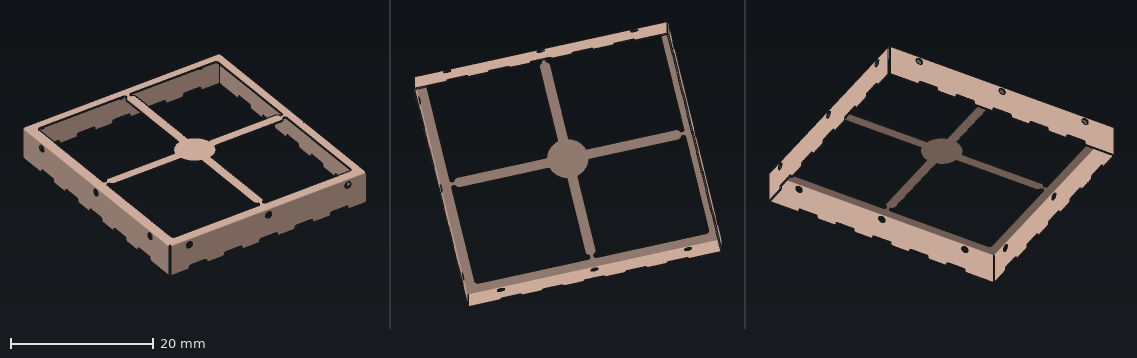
import cadquery as cq

length = 36.83
width = 33.65
height = 5.1
sheet = 0.2
bend_radius = 0.25
corner_gap = 0.22

flange = 1.6
window_corner_radius = 0.45

bar_width = 1.62
pad_diameter = 6.0
neck_width = 0.65
neck_length = 0.45
bar_end_radius = 0.65
neck_fillet = 0.25

hole_diameter = 1.0
hole_drop = 1.0
hole_offset = 13.48

notch_pitch = 6.0
notch_count = 5
notch_width = 2.95
notch_depth = 0.6
notch_edge_radius = 0.22

window_x = length - 2 * flange
window_y = width - 2 * flange


def make_shell():
    """Open-bottomed tray with rounded top edges and slit vertical corners."""
    outer = cq.Workplane("XY").box(length, width, height, centered=(True, True, False))
    outer = outer.faces(">Z").edges().fillet(bend_radius)
    inner = cq.Workplane("XY").box(
        length - 2 * sheet, width - 2 * sheet, height - sheet, centered=(True, True, False)
    )
    inner = inner.faces(">Z").edges().fillet(bend_radius - sheet)
    slits = (
        cq.Workplane("XY")
        .rect(length, width, forConstruction=True)
        .vertices()
        .rect(2 * corner_gap, 2 * corner_gap)
        .extrude(height)
    )
    return outer.cut(inner).cut(slits)


def round_edge(body, x, y, radius):
    """Round the vertical edge of a sheet-thick body that stands at (x, y)."""
    edge = cq.selectors.NearestToPointSelector((x, y, sheet / 2))
    return body.edges("|Z").edges(edge).fillet(radius)


def make_bar(span):
    """Bar along X with rounded ends, joined to the frame by a narrow neck at each end."""
    body = cq.Workplane("XY").rect(span - 2 * neck_length, bar_width).extrude(sheet)
    body = body.edges("|Z").fillet(bar_end_radius)
    necks = cq.Workplane("XY").rect(span, neck_width).extrude(sheet)
    return body.union(necks)


def make_windows():
    """Four window openings left between the cross bars and the central pad."""
    opening = cq.Workplane("XY").rect(window_x, window_y).extrude(sheet)
    pad = cq.Workplane("XY").circle(pad_diameter / 2).extrude(sheet)
    x_bar = make_bar(window_x)
    y_bar = make_bar(window_y).rotate((0, 0, 0), (0, 0, 1), 90)
    opening = opening.cut(x_bar).cut(y_bar).cut(pad)
    for x in (-window_x / 2, window_x / 2):
        for y in (-window_y / 2, window_y / 2):
            opening = round_edge(opening, x, y, window_corner_radius)
    for side in (-neck_width / 2, neck_width / 2):
        for end in (-1, 1):
            opening = round_edge(opening, end * window_x / 2, side, neck_fillet)
            opening = round_edge(opening, side, end * window_y / 2, neck_fillet)
    return opening.translate((0, 0, height - sheet))


def make_wall_cutter(depth):
    """Holes and notches running along Y through one pair of opposite walls."""
    hole_z = height - hole_drop
    cutter = (
        cq.Workplane("XZ")
        .pushPoints([(x, hole_z) for x in (-hole_offset, 0, hole_offset)])
        .circle(hole_diameter / 2)
        .extrude(depth / 2, both=True)
    )
    half = notch_width / 2
    radius = notch_edge_radius
    notch = (
        cq.Workplane("XZ")
        .moveTo(-half - radius, 0)
        .radiusArc((-half, radius), -radius)
        .lineTo(-half, notch_depth - radius)
        .radiusArc((-half + radius, notch_depth), radius)
        .lineTo(half - radius, notch_depth)
        .radiusArc((half, notch_depth - radius), radius)
        .lineTo(half, radius)
        .radiusArc((half + radius, 0), -radius)
        .close()
        .extrude(depth / 2, both=True)
    )
    for i in range(notch_count):
        x = (i - (notch_count - 1) / 2) * notch_pitch
        cutter = cutter.union(notch.translate((x, 0, 0)))
    return cutter


result = (
    make_shell()
    .cut(make_windows())
    .cut(make_wall_cutter(width))
    .cut(make_wall_cutter(length).rotate((0, 0, 0), (0, 0, 1), 90))
)